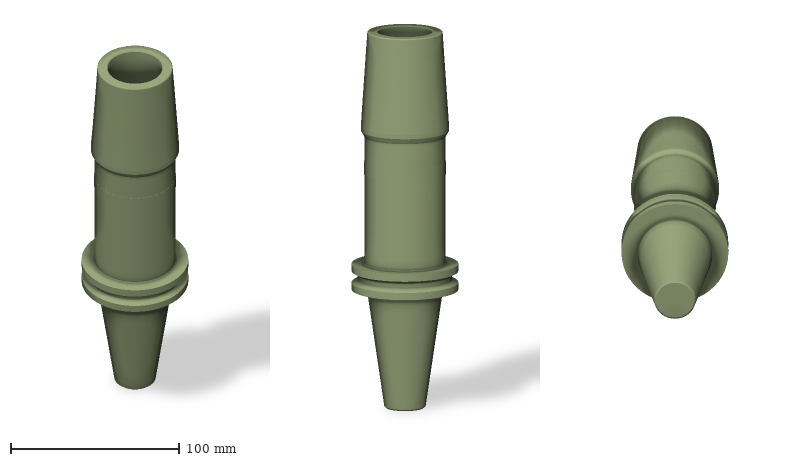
import cadquery as cq

total_height = 228.5
gauge_height = 68.3
flange_bottom = 71.7
flange_top = 87.5
band_bottom = 141.5
band_top = 149.5
head_bottom = 165.0
head_bevel_top = 168.3
head_cone_bottom = 170.8

gauge_radius = 22.2
flange_radius = 31.7
groove_radius = 28.0
body_radius = 24.2
band_radius = body_radius + 0.11
head_radius = 26.3
head_top_radius = 22.4

taper_slope = 7 / 24 / 2
taper_end_radius = gauge_radius - gauge_height * taper_slope
taper_end_chamfer = 1.0

gauge_land = 1.1
relief_depth = 0.2

groove_floor_width = 3.2
groove_mouth_width = 6.9
groove_floor_fillet = 0.5
groove_center = 79.5

foot_size = 0.8
rim_size = 1.0

bore_radius = 16.2
bore_depth = 68.5
bore_chamfer = 0.57


def revolve_profile(points):
    """Turn (radius, height) points about the Z axis."""
    return cq.Workplane("XZ").polyline(points).close().revolve(360, (0, 0, 0), (0, 1, 0))


def make_mount():
    """Steep taper with a short straight neck below the flange."""
    chamfer_top_radius = taper_end_radius + taper_end_chamfer * taper_slope
    return revolve_profile([
        (0, 0),
        (taper_end_radius - taper_end_chamfer, 0),
        (chamfer_top_radius, taper_end_chamfer),
        (gauge_radius, gauge_height),
        (gauge_radius, gauge_height + gauge_land),
        (gauge_radius - relief_depth, gauge_height + gauge_land + relief_depth),
        (gauge_radius - relief_depth, flange_bottom - relief_depth),
        (gauge_radius, flange_bottom),
        (0, flange_bottom),
    ])


def make_flange():
    """Round flange with a V-sided gripper groove."""
    flange = revolve_profile([
        (0, flange_bottom),
        (flange_radius, flange_bottom),
        (flange_radius, groove_center - groove_mouth_width / 2),
        (groove_radius, groove_center - groove_floor_width / 2),
        (groove_radius, groove_center + groove_floor_width / 2),
        (flange_radius, groove_center + groove_mouth_width / 2),
        (flange_radius, flange_top),
        (0, flange_top),
    ])
    floor_edges = cq.selectors.RadiusNthSelector(0)
    return flange.edges(floor_edges).fillet(groove_floor_fillet)


def make_body():
    """Cylindrical body with a flared foot and a slightly raised band."""
    return revolve_profile([
        (0, flange_top),
        (body_radius + foot_size, flange_top),
        (body_radius, flange_top + foot_size),
        (body_radius, band_bottom),
        (band_radius, band_bottom),
        (band_radius, band_top),
        (body_radius, band_top),
        (body_radius, head_bottom),
        (0, head_bottom),
    ])


def make_head():
    """Tapered clamping head with a bevelled lower edge and rounded rim."""
    head = revolve_profile([
        (0, head_bottom),
        (body_radius, head_bottom),
        (head_radius, head_bevel_top),
        (head_radius, head_cone_bottom),
        (head_top_radius, total_height),
        (0, total_height),
    ])
    return head.faces(">Z").edges().fillet(rim_size)


def make_bore():
    """Cutter for the blind bore and its chamfered mouth."""
    return revolve_profile([
        (0, total_height - bore_depth),
        (bore_radius, total_height - bore_depth),
        (bore_radius, total_height - bore_chamfer),
        (bore_radius + bore_chamfer, total_height),
        (0, total_height),
    ])


result = make_mount().union(make_flange()).union(make_body()).union(make_head()).cut(make_bore())